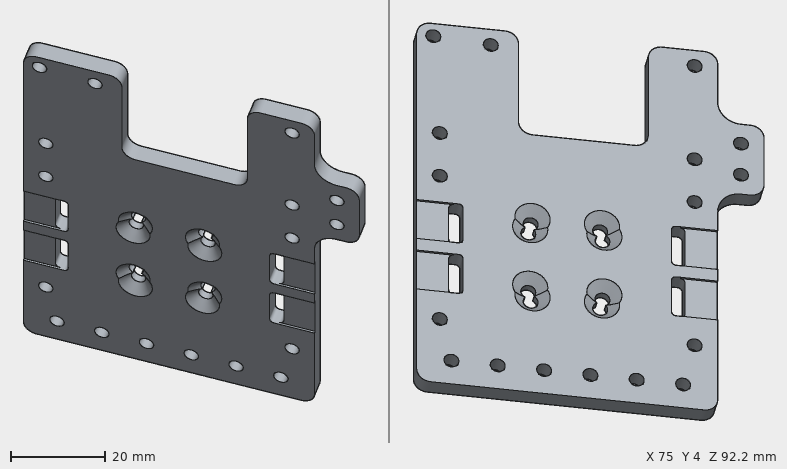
import cadquery as cq
import math

thickness = 4.0
plate_width = 65.0
plate_height = 92.25
corner_radius = 3.0

notch_left = 22.0
notch_right = 50.0
notch_floor = 66.25

tab_reach = 10.0
tab_height = 18.0
tab_center_z = 65.5
tab_blend_radius = 5.0

hole_diameter = 3.2
side_hole_inset = 5.0
side_hole_heights = (16.4, 53.25, 64.25)
bottom_row_count = 6
bottom_row_start_x = 7.5
bottom_row_pitch = 10.0
bottom_row_z = 6.0
top_hole_z = 88.25
top_inner_hole_x = 16.0
corner_hole_x = 3.6
corner_hole_z = 89.0
tab_hole_pitch = 8.0

pattern_center_z = 34.75
pattern_sizes = ((15.0, 20.0), (16.0, 15.0))
countersink_diameter = 7.6
countersink_angle = 90.0

slot_inset = 7.0
slot_width = 3.0
slot_height = 10.0
slot_corner_radius = 1.0
slot_bottoms = (23.5, 36.5)
pocket_depth = 0.5


def front_plane():
    """Sketch plane on the front face; extruding negative goes into the plate."""
    return cq.Workplane("XZ")


def make_plate():
    """Plate with its top notch, rounded at every corner."""
    body = front_plane().rect(plate_width, plate_height, centered=False).extrude(-thickness)
    notch = (
        front_plane()
        .moveTo(notch_left, notch_floor)
        .rect(notch_right - notch_left, plate_height - notch_floor, centered=False)
        .extrude(-thickness)
    )
    return body.cut(notch).edges("|Y").fillet(corner_radius)


def make_tab():
    """Side tab with rounded outer corners and concave blends into the plate edge."""
    bottom = tab_center_z - tab_height / 2
    top = tab_center_z + tab_height / 2
    root_x = plate_width
    tip_x = plate_width + tab_reach
    overlap_x = root_x - tab_blend_radius
    blend_sag = tab_blend_radius * (1 - math.sqrt(0.5))
    corner_sag = corner_radius * (1 - math.sqrt(0.5))
    return (
        front_plane()
        .moveTo(root_x, bottom - tab_blend_radius)
        .threePointArc((root_x + blend_sag, bottom - blend_sag), (root_x + tab_blend_radius, bottom))
        .lineTo(tip_x - corner_radius, bottom)
        .threePointArc((tip_x - corner_sag, bottom + corner_sag), (tip_x, bottom + corner_radius))
        .lineTo(tip_x, top - corner_radius)
        .threePointArc((tip_x - corner_sag, top - corner_sag), (tip_x - corner_radius, top))
        .lineTo(root_x + tab_blend_radius, top)
        .threePointArc((root_x + blend_sag, top + blend_sag), (root_x, top + tab_blend_radius))
        .lineTo(overlap_x, top + tab_blend_radius)
        .lineTo(overlap_x, bottom - tab_blend_radius)
        .close()
        .extrude(-thickness)
    )


def plain_hole_points():
    """Centres (x, z) of all plain through holes."""
    right_x = plate_width - side_hole_inset
    points = [(corner_hole_x, corner_hole_z), (top_inner_hole_x, top_hole_z), (right_x, top_hole_z)]
    for z in side_hole_heights:
        points += [(side_hole_inset, z), (right_x, z)]
    for i in range(bottom_row_count):
        points.append((bottom_row_start_x + i * bottom_row_pitch, bottom_row_z))
    for side in (-1, 1):
        points.append((plate_width + tab_reach / 2, tab_center_z + side * tab_hole_pitch / 2))
    return points


def make_plain_holes():
    return front_plane().pushPoints(plain_hole_points()).circle(hole_diameter / 2).extrude(-thickness)


def cut_countersunk_holes(part):
    """Countersunk holes at the corners of both patterns, sunk from the front face."""
    for width, height in pattern_sizes:
        part = (
            part.copyWorkplane(front_plane())
            .center(plate_width / 2, pattern_center_z)
            .rect(width, height, forConstruction=True)
            .vertices()
            .cskHole(hole_diameter, countersink_diameter, countersink_angle)
        )
    return part


def cut_strap_slot(part, bottom):
    """Mirrored pair of through slots, each with a shallow pocket reaching the side edge.

    The pocket overlaps the outer rounded corners of its slot, so these only
    remain below the pocket floor.
    """
    center_z = bottom + slot_height / 2
    pocket_length = slot_inset + slot_corner_radius
    slot = (
        front_plane()
        .center(slot_inset + slot_width / 2, center_z)
        .rect(slot_width, slot_height)
        .extrude(-thickness)
        .edges("|Y")
        .fillet(slot_corner_radius)
    )
    pocket = (
        front_plane()
        .moveTo(0, bottom)
        .rect(pocket_length, slot_height, centered=False)
        .extrude(-pocket_depth)
    )
    left_cutter = slot.union(pocket)
    right_cutter = left_cutter.mirror("YZ", (plate_width / 2, 0, 0))
    return part.cut(left_cutter).cut(right_cutter)


result = make_plate().union(make_tab()).cut(make_plain_holes())
result = cut_countersunk_holes(result)
for slot_bottom in slot_bottoms:
    result = cut_strap_slot(result, slot_bottom)